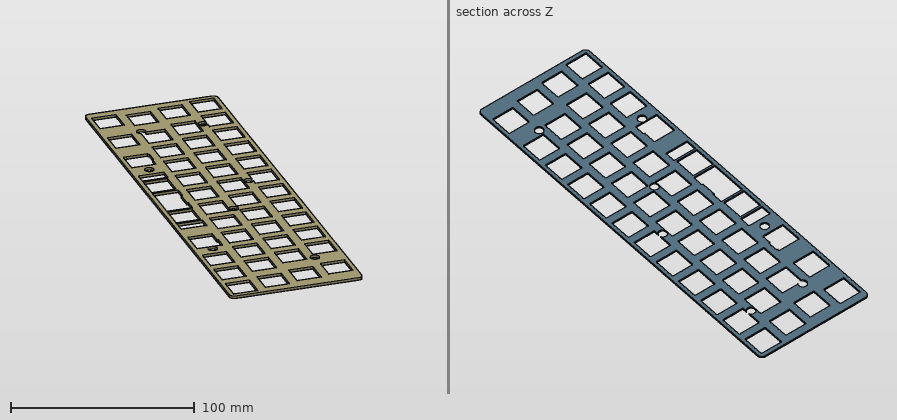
import cadquery as cq

plate_length = 243.5
plate_width = 76.2
plate_thickness = 1.6
corner_radius = 3.0

key_rows = [
    [1] * 11 + [1.75],
    [1.25] + [1] * 10 + [1.5],
    [1.5] + [1] * 10 + [1.25],
    [1.25, 1.5, 1.25, 2.25, 2, 1.5, 1, 1, 1],
]
front_row = len(key_rows) - 1

key_unit = plate_width / len(key_rows)
grid_left = -sum(key_rows[front_row]) * key_unit / 2
key_web = 5.0
switch_size = key_unit - key_web

left_space_index = 3
right_space_index = 4
long_space_first = 2
long_space_last = 5

slot_width = 6.8
slot_rise = 0.7
short_bar_offset = 12.0
long_bar_offset = 3 * key_unit

mount_diameter = 5.0
mount_points = [
    (-90, 19.2),
    (-14.0, 19.2),
    (89.3, 21.5),
    (16.5, 0),
    (-91.8, -15.5),
    (-44.8, -27.3),
    (60.8, -27.5),
]


def key_centre(row, first, last):
    """Centre of a key that covers the places first to last of a row, row 0 being the back row."""
    start = sum(key_rows[row][:first])
    end = sum(key_rows[row][: last + 1])
    x = grid_left + (start + end) / 2 * key_unit
    y = plate_width / 2 - (row + 0.5) * key_unit
    return (x, y)


def cut_rectangle(body, centre, length, width):
    """Cut one rectangular opening through the plate."""
    cutter = cq.Workplane("XY").center(*centre).rect(length, width).extrude(plate_thickness)
    return body.cut(cutter)


def cut_slot_pair(body, centre, offset):
    """Cut the two stabiliser slots on either side of a space key."""
    x, y = centre
    for side in (-1, 1):
        slot_centre = (x + side * offset, y + slot_rise / 2)
        body = cut_rectangle(body, slot_centre, slot_width, switch_size + slot_rise)
    return body


plate = (
    cq.Workplane("XY")
    .rect(plate_length, plate_width)
    .extrude(plate_thickness)
    .edges("|Z")
    .fillet(corner_radius)
)

left_space = key_centre(front_row, left_space_index, left_space_index)
right_space = key_centre(front_row, right_space_index, right_space_index)
long_space = key_centre(front_row, long_space_first, long_space_last)

for row, widths in enumerate(key_rows):
    for index in range(len(widths)):
        plate = cut_rectangle(plate, key_centre(row, index, index), switch_size, switch_size)
plate = cut_rectangle(plate, long_space, switch_size, switch_size)

plate = cut_slot_pair(plate, left_space, short_bar_offset)
plate = cut_slot_pair(plate, right_space, short_bar_offset)
plate = cut_slot_pair(plate, long_space, long_bar_offset)

mounts = cq.Workplane("XY").pushPoints(mount_points).circle(mount_diameter / 2).extrude(plate_thickness)
result = plate.cut(mounts)